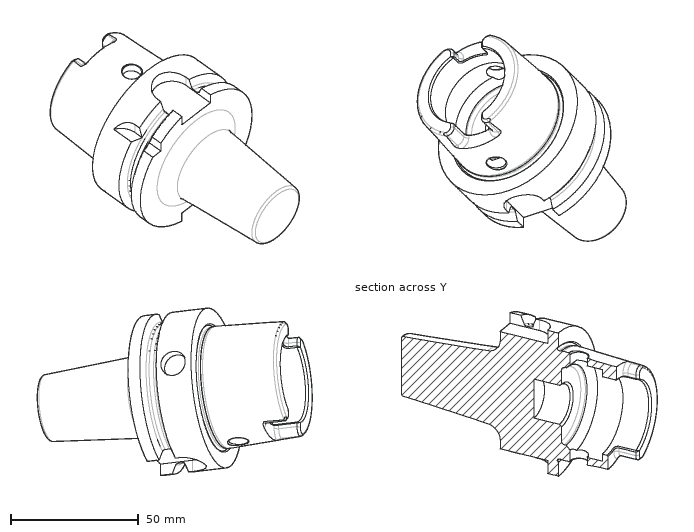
import cadquery as cq
import math


overall_length = 102.0
flange_start = 32.0
flange_width = 26.0
flange_end = flange_start + flange_width

shank_end_radius = 22.7
shank_large_radius = 24.1
shank_edge_rounding = 1.0
taper_length = 29.8
relief_start = 30.6
relief_depth = 0.2
relief_radius = shank_large_radius - relief_depth

recess_outer_radius = 25.3
recess_floor_radius = 24.8
recess_depth = 0.5

flange_radius = 31.5
groove_center = 49.8
groove_mouth_width = 6.7
groove_floor_width = 1.8
groove_floor_radius = 27.5
groove_rounding = 1.1
groove_flank_angle = math.radians(66)

nose_angle = math.radians(4.5)
nose_tip_radius = 13.2
nose_root_rounding = 5.8
nose_edge_rounding = 1.0

bore_radius = 16.9
bore_edge_chamfer = 0.4
bore_mouth_chamfer_length = 1.1
lip_length = 12.5
chamber_radius = 20.0
chamber_end = 25.5
bore_depth = 30.6
bore_floor_rounding = 1.3
thread_radius = 8.5
thread_mouth_radius = 9.4
thread_depth = 12.2

drive_slot_half_width = 6.2
drive_slot_lip_radius = 3.0
drive_slot_shoulder_height = 20.6
drive_slot_floor_rounding = 1.4
drive_slot_mouth_chamfer = 1.0
upper_drive_slot_depth = 6.0
lower_drive_slot_depth = 10.0

cross_hole_x = 23.1
cross_hole_radius = 3.8
cross_hole_mouth_radius = 4.3

keyway_width = 16.0
keyway_start = 36.8
keyway_floor_height = 25.8
notch_offset = 19.9
notch_straight_start = 44.1
notch_end_radius = 8.0
chip_hole_x = 39.5
chip_hole_radius = 5.0
chip_hole_depth = 4.6


def revolve_about_x(profile):
    """Close an outline drawn in the XY plane and turn it about the X axis."""
    return profile.close().revolve(360, (0, 0, 0), (1, 0, 0))


def groove_corner_point(turn_angle):
    """Offset from the groove center and radius, on a rounded corner turned up from the groove floor."""
    offset = groove_floor_width / 2 + groove_rounding * math.sin(turn_angle)
    radius = groove_floor_radius + groove_rounding * (1 - math.cos(turn_angle))
    return offset, radius


def make_body():
    """Outer shape: shank, flange with V-groove, and nose."""
    neck_offset, neck_radius = groove_corner_point(groove_flank_angle)
    arc_mid_offset, arc_mid_radius = groove_corner_point(groove_flank_angle / 2)

    recess_floor_x = flange_start + recess_depth
    recess_rounding = recess_floor_radius - relief_radius
    recess_arc_offset = recess_rounding * (1 - math.sqrt(0.5))

    root_center_x = flange_end + nose_root_rounding
    root_end_x = root_center_x - nose_root_rounding * math.sin(nose_angle)
    root_end_radius = nose_tip_radius + (overall_length - root_end_x) * math.tan(nose_angle)
    root_center_radius = root_end_radius + nose_root_rounding * math.cos(nose_angle)
    root_mid_angle = math.radians(225) - nose_angle / 2
    root_mid = (
        root_center_x + nose_root_rounding * math.cos(root_mid_angle),
        root_center_radius + nose_root_rounding * math.sin(root_mid_angle),
    )

    profile = (
        cq.Workplane("XY")
        .lineTo(0, shank_end_radius)
        .lineTo(taper_length, shank_large_radius)
        .lineTo(relief_start, shank_large_radius)
        .lineTo(relief_start + relief_depth, relief_radius)
        .lineTo(recess_floor_x - recess_rounding, relief_radius)
        .threePointArc(
            (recess_floor_x - recess_arc_offset, relief_radius + recess_arc_offset),
            (recess_floor_x, recess_floor_radius),
        )
        .lineTo(flange_start, recess_outer_radius)
        .lineTo(flange_start, flange_radius)
        .lineTo(groove_center - groove_mouth_width / 2, flange_radius)
        .lineTo(groove_center - neck_offset, neck_radius)
        .threePointArc(
            (groove_center - arc_mid_offset, arc_mid_radius),
            (groove_center - groove_floor_width / 2, groove_floor_radius),
        )
        .lineTo(groove_center + groove_floor_width / 2, groove_floor_radius)
        .threePointArc(
            (groove_center + arc_mid_offset, arc_mid_radius),
            (groove_center + neck_offset, neck_radius),
        )
        .lineTo(groove_center + groove_mouth_width / 2, flange_radius)
        .lineTo(flange_end, flange_radius)
        .lineTo(flange_end, root_center_radius)
        .threePointArc(root_mid, (root_end_x, root_end_radius))
        .lineTo(overall_length, nose_tip_radius)
        .lineTo(overall_length, 0)
    )
    body = revolve_about_x(profile)
    body = body.faces("<X").edges().fillet(shank_edge_rounding)
    return body.faces(">X").edges().fillet(nose_edge_rounding)


def make_bore():
    """Hollow of the shank: lip, chamber closing in a 45 degree cone, rounded floor, threaded hole."""
    thread_chamfer = thread_mouth_radius - thread_radius
    rounding_offset = bore_floor_rounding * (1 - math.sqrt(0.5))
    profile = (
        cq.Workplane("XY")
        .lineTo(0, bore_radius)
        .lineTo(lip_length, bore_radius)
        .lineTo(lip_length, chamber_radius)
        .lineTo(chamber_end, chamber_radius)
        .lineTo(chamber_end + chamber_radius - bore_radius, bore_radius)
        .lineTo(bore_depth - bore_floor_rounding, bore_radius)
        .threePointArc(
            (bore_depth - rounding_offset, bore_radius - rounding_offset),
            (bore_depth, bore_radius - bore_floor_rounding),
        )
        .lineTo(bore_depth, thread_mouth_radius)
        .lineTo(bore_depth + thread_chamfer, thread_radius)
        .lineTo(bore_depth + thread_depth, thread_radius)
        .lineTo(bore_depth + thread_depth, 0)
    )
    return revolve_about_x(profile)


def make_bore_mouth():
    """Shallow lead-in cone at the bore opening."""
    profile = (
        cq.Workplane("XY")
        .lineTo(0, bore_radius + bore_edge_chamfer)
        .lineTo(bore_mouth_chamfer_length, bore_radius)
        .lineTo(bore_mouth_chamfer_length, 0)
    )
    return revolve_about_x(profile)


def drive_slot_outline(allowance):
    """Slot cross-section, grown by the allowance: straight walls that flare out over round lips."""
    half_width = drive_slot_half_width + allowance
    lip_radius = drive_slot_lip_radius - allowance
    lip_center_y = drive_slot_half_width + drive_slot_lip_radius
    lip_center_z = drive_slot_shoulder_height - drive_slot_lip_radius
    shoulder_z = lip_center_z + lip_radius
    lip_mid_y = lip_center_y - lip_radius * math.sqrt(0.5)
    lip_mid_z = lip_center_z + lip_radius * math.sqrt(0.5)
    slot_inner_z = bore_radius / 2
    return (
        cq.Workplane("YZ")
        .moveTo(-half_width, slot_inner_z)
        .lineTo(half_width, slot_inner_z)
        .lineTo(half_width, lip_center_z)
        .threePointArc((lip_mid_y, lip_mid_z), (lip_center_y, shoulder_z))
        .lineTo(shank_large_radius, shoulder_z)
        .lineTo(shank_large_radius, flange_radius)
        .lineTo(-shank_large_radius, flange_radius)
        .lineTo(-shank_large_radius, shoulder_z)
        .lineTo(-lip_center_y, shoulder_z)
        .threePointArc((-lip_mid_y, lip_mid_z), (-half_width, lip_center_z))
        .close()
    )


def make_drive_slot(depth):
    """Slot cutter on the +Z side, with rounded floor corners and a chamfered mouth."""
    slot = drive_slot_outline(0).extrude(depth)
    slot = slot.faces(">X").edges().fillet(drive_slot_floor_rounding)
    mouth = drive_slot_outline(drive_slot_mouth_chamfer).extrude(drive_slot_mouth_chamfer, taper=45)
    return slot.union(mouth)


def make_cross_hole():
    """Hole along Z through both shank walls, countersunk at its outer ends."""
    countersink = cross_hole_mouth_radius - cross_hole_radius
    taper_slope = (shank_large_radius - shank_end_radius) / taper_length
    mouth_height = shank_end_radius + taper_slope * cross_hole_x
    profile = (
        cq.Workplane("XZ", origin=(cross_hole_x, 0, 0))
        .lineTo(cross_hole_radius, 0)
        .lineTo(cross_hole_radius, mouth_height - countersink)
        .lineTo(cross_hole_mouth_radius, mouth_height)
        .lineTo(cross_hole_mouth_radius, flange_radius)
        .lineTo(0, flange_radius)
        .close()
    )
    half = profile.revolve(360, (0, 0, 0), (0, 1, 0))
    return half.union(half.mirror("XY"))


def make_keyway():
    """Round-ended keyway cutter on the +Z side, open toward the nose."""
    half_width = keyway_width / 2
    end_center_x = keyway_start + half_width
    return (
        cq.Workplane("XY", origin=(0, 0, keyway_floor_height))
        .moveTo(flange_end, -half_width)
        .lineTo(flange_end, half_width)
        .lineTo(end_center_x, half_width)
        .threePointArc((keyway_start, 0), (end_center_x, -half_width))
        .close()
        .extrude(flange_radius - keyway_floor_height)
    )


def make_notch():
    """Corner notch in the -Y, +Z quadrant of the flange, with a round end toward the shank."""
    end_x = notch_straight_start - notch_end_radius
    end_y = -notch_offset - notch_end_radius
    return (
        cq.Workplane("XY", origin=(0, 0, notch_offset))
        .moveTo(flange_end, -notch_offset)
        .lineTo(notch_straight_start, -notch_offset)
        .radiusArc((end_x, end_y), -notch_end_radius)
        .lineTo(end_x, -flange_radius)
        .lineTo(flange_end, -flange_radius)
        .close()
        .extrude(flange_radius - notch_offset)
    )


def make_chip_hole():
    """Blind hole for a data chip, on the +Y side of the flange."""
    return (
        cq.Workplane("XZ", origin=(chip_hole_x, flange_radius, 0))
        .circle(chip_hole_radius)
        .extrude(chip_hole_depth)
    )


def chamfer_bore_rim(holder):
    """Break the inner rim that runs around the shank end and down into both drive slots."""
    reach = bore_radius + bore_edge_chamfer / 4
    rim_box = cq.selectors.BoxSelector(
        (-bore_edge_chamfer, -reach, -reach),
        ((lower_drive_slot_depth + lip_length) / 2, reach, reach),
        boundingbox=True,
    )
    return holder.edges(rim_box).chamfer(bore_edge_chamfer)


holder = make_body().cut(make_bore())
holder = holder.cut(make_drive_slot(upper_drive_slot_depth))
holder = holder.cut(make_drive_slot(lower_drive_slot_depth).mirror("XY"))
holder = chamfer_bore_rim(holder).cut(make_bore_mouth())
holder = holder.cut(make_cross_hole())

keyway = make_keyway()
holder = holder.cut(keyway).cut(keyway.mirror("XY"))
result = holder.cut(make_notch()).cut(make_chip_hole())